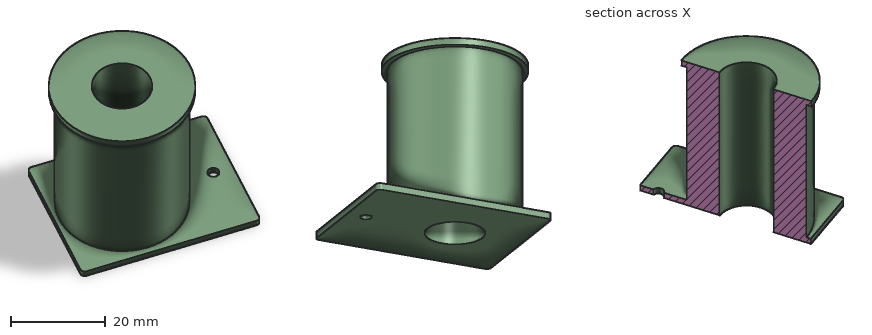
import cadquery as cq

plate_width = 31.5
plate_length = 40.58
wall = 1.5
corner_radius = 0.98

total_height = 38.2
column_diameter = 28.6
flange_diameter = 31.0
bore_diameter = 12.75

overall_length = 40.8
flange_overhang = overall_length - plate_length
plate_front = flange_overhang - flange_diameter / 2
plate_back = plate_front + plate_length

small_hole_diameter = 2.5
small_hole_x = -0.25
small_hole_edge_distance = 4.45


def vertical_cylinder(diameter, bottom, height, x=0, y=0):
    """Cylinder along Z, standing on the given bottom height."""
    return cq.Workplane("XY", origin=(x, y, bottom)).circle(diameter / 2).extrude(height)


plate = (
    cq.Workplane("XY", origin=(0, plate_front + plate_length / 2, 0))
    .rect(plate_width, plate_length)
    .extrude(wall)
    .edges("|Z")
    .fillet(corner_radius)
)
column = vertical_cylinder(column_diameter, 0, total_height)
flange = vertical_cylinder(flange_diameter, total_height - wall, wall)
bore = vertical_cylinder(bore_diameter, 0, total_height)
small_hole = vertical_cylinder(
    small_hole_diameter, 0, wall, small_hole_x, plate_back - small_hole_edge_distance
)

result = plate.union(column).union(flange).cut(bore).cut(small_hole)